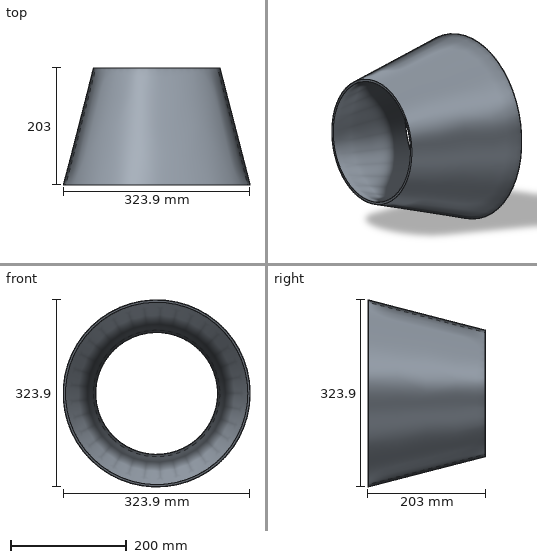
import math

import cadquery as cq

large_diameter = 323.9
small_diameter = 219.1
length = 203.0
wall = 4.0

large_radius = large_diameter / 2
small_radius = small_diameter / 2
slope_angle = math.atan2(large_radius - small_radius, length)
radial_wall = wall / math.cos(slope_angle)


def make_reducer():
    """Revolve the sloping wall section around the Y axis."""
    wall_section = (
        cq.Workplane("XY")
        .moveTo(large_radius - radial_wall, 0)
        .lineTo(large_radius, 0)
        .lineTo(small_radius, length)
        .lineTo(small_radius - radial_wall, length)
        .close()
    )
    return wall_section.revolve(360, (0, 0, 0), (0, 1, 0))


result = make_reducer()